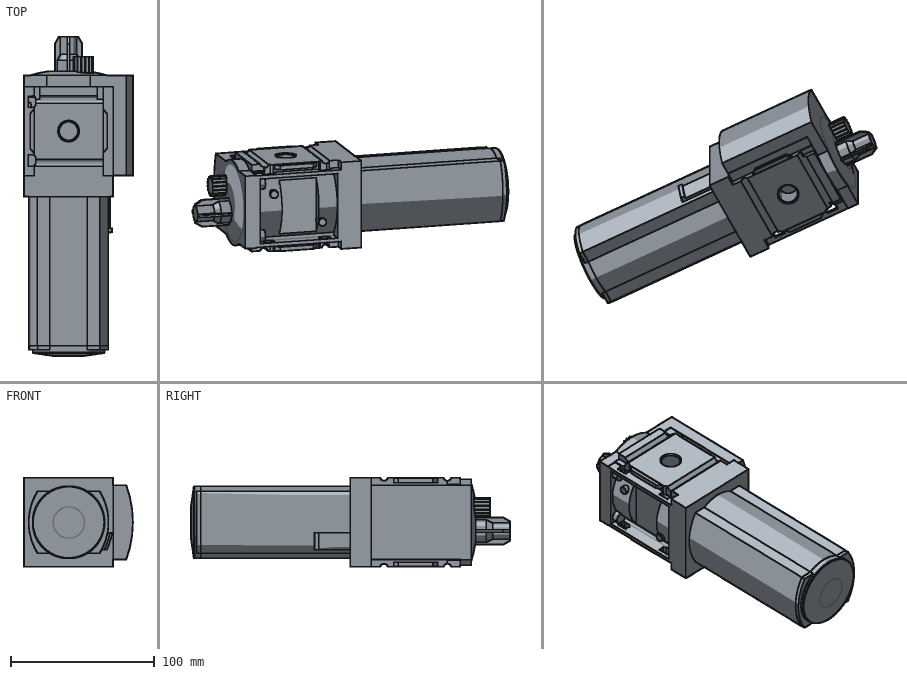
import math

import cadquery as cq


OVERALL_LENGTH = 222.0

HOUSING_WIDTH = 62.0
HALF_WIDTH = HOUSING_WIDTH / 2
COLLAR_FRONT_Y = -45.5
COLLAR_BACK_Y = -31.0
MIDDLE_BACK_Y = 30.8
STRIP_HALF_HEIGHT = 25.6
PAD_HALF_WIDTH = 24.0

COVER_HALF_HEIGHT = 25.9
COVER_FLAT_X = 40.1
COVER_OUTER_X = 44.8
CAP_BACK_Y = 38.7
CAP_BULGE_RADIUS = 30.0
DOME_RADIUS = 27.0
DOME_FLAT_RADIUS = 14.0
DOME_TOP_Y = 41.6
DOME_MID_RADIUS = (DOME_RADIUS + DOME_FLAT_RADIUS) / 2
DOME_MID_Y = 40.4

GROOVE_WIDTH = 5.2
GROOVE_DEPTH = 2.1
GROOVE_Y = 22.0
CORNER_NOTCH_WIDTH = 4.0
CORNER_NOTCH_Y = 22.0
CORNER_NOTCH_FLOOR_Z = 26.3
TAB_REACH = 2.8
TAB_HALF_LENGTH = 15.3
TAB_TIP_HALF_LENGTH = 12.0
TAB_THICKNESS = 3.0
TAB_DROP = 0.4
PORT_RADIUS = 6.5
PORT_MOUTH_RADIUS = 7.4
PORT_DEPTH = 15.0

SLOT_Y = 20.4
SLOT_OUTER_X = -28.0
SLOT_INNER_X = -22.8
SLOT_HALF_LENGTH = 3.9
SLOT_INNER_HALF_LENGTH = 2.3

WINDOW_FRONT_Y = -28.5
WINDOW_BACK_Y = 27.8
WINDOW_HALF_HEIGHT = 23.1
BOWL_RADIUS = 29.4
BOWL_HALF_HEIGHT = 21.2
WINDOW_FILLET = 1.8
RECESS_FRONT_Y = -15.2
RECESS_BACK_Y = 11.6
RECESS_HALF_HEIGHT = 19.1
PIN_DIAMETER = 5.5
PIN_TIP_X = -29.5
PIN_LENGTH = 10.0
PIN_PLACES = [(17.2, 11.0), (-17.8, -11.2)]
LUG_RADIUS = 4.3
LUG_X = -25.0
LUG_Z = 18.8
LUG_LENGTH = 4.2

GUARD_RADIUS = 50.4 / 2
GUARD_RING_Y = -149.3
GUARD_RING_INSET = 0.1
GUARD_CORNER = 21.6
GUARD_SIDE_X = 27.8
GUARD_SIDE_END_Y = -152.0
GUARD_ROUND_END_Y = -153.6
GUARD_RIM_Y = -154.3
GUARD_TIP_Y = -156.3
GUARD_RIM_RADIUS = 24.7
GUARD_TIP_RADIUS = 10.9
ARC_SAG = GUARD_SIDE_X - GUARD_CORNER
GUARD_ARC_RADIUS = (GUARD_CORNER**2 + ARC_SAG**2) / (2 * ARC_SAG)
GUARD_ARC_CENTRE_X = GUARD_SIDE_X - GUARD_ARC_RADIUS

LATCH_TOP_Z = -7.1
LATCH_BOTTOM_Z = -19.2
LATCH_THICKNESS = 1.6
LATCH_LIP = 1.5
LATCH_END_Y = -70.6
LATCH_LIP_END_Y = -70.2
LATCH_LIP_START_Y = -67.4
LATCH_EMBED = 1.5

KNOB_Z = -6.1
KNOB_TOP_Y = GUARD_TIP_Y + OVERALL_LENGTH
KNOB_SHOULDER_Y = 60.8
KNOB_WING_RADIUS = 9.5
KNOB_WING_TIP_RADIUS = 6.7
KNOB_WING_THICKNESS = 1.6
KNOB_CORE_RADIUS = 5.7
KNOB_BASE_RADIUS = 7.8
KNOB_CORE_Y = 53.4
KNOB_BASE_Y = 49.2

PLUG_X = 10.2
PLUG_Z = 10.2
PLUG_RADIUS = 7.1
PLUG_TOP_Y = 51.7
FLUTE_COUNT = 16
FLUTE_RADIUS = 1.1


def box(x0, x1, y0, y1, z0, z1):
    """Axis-aligned block between the given limits."""
    return cq.Workplane("XY").box(x1 - x0, y1 - y0, z1 - z0, centered=False).translate((x0, y0, z0))


def plane_at(y):
    """XZ sketch plane at the given Y; extrusion runs toward -Y."""
    return cq.Workplane("XZ", origin=(0, y, 0))


def rod(radius, x, z, y0, y1):
    """Cylinder along Y."""
    return plane_at(y1).center(x, z).circle(radius).extrude(y1 - y0)


def turned(points):
    """Solid of revolution about the Y axis from (radius, y) points."""
    return cq.Workplane("XY").polyline(points).close().revolve(360, (0, 0, 0), (0, 1, 0))


def both_sides(shape):
    """The shape joined with its mirror image below Z = 0."""
    return shape.union(shape.mirror("XY"))


def make_housing():
    collar = box(-HALF_WIDTH, HALF_WIDTH, COLLAR_FRONT_Y, COLLAR_BACK_Y, -HALF_WIDTH, HALF_WIDTH)
    middle = box(-HALF_WIDTH, HALF_WIDTH, COLLAR_BACK_Y, MIDDLE_BACK_Y, -STRIP_HALF_HEIGHT, STRIP_HALF_HEIGHT)
    return collar.union(middle).union(both_sides(make_pad()))


def make_pad():
    """Raised port pad on top, with cross grooves, side tabs and notched rear corners."""
    pad = box(-PAD_HALF_WIDTH, PAD_HALF_WIDTH, COLLAR_BACK_Y, MIDDLE_BACK_Y, 0, HALF_WIDTH)
    tab_x = PAD_HALF_WIDTH + TAB_REACH
    tabs = (
        cq.Workplane("XY", origin=(0, 0, HALF_WIDTH - TAB_DROP))
        .polyline([
            (-PAD_HALF_WIDTH, -TAB_HALF_LENGTH),
            (PAD_HALF_WIDTH, -TAB_HALF_LENGTH),
            (tab_x, -TAB_TIP_HALF_LENGTH),
            (tab_x, TAB_TIP_HALF_LENGTH),
            (PAD_HALF_WIDTH, TAB_HALF_LENGTH),
            (-PAD_HALF_WIDTH, TAB_HALF_LENGTH),
            (-tab_x, TAB_TIP_HALF_LENGTH),
            (-tab_x, -TAB_TIP_HALF_LENGTH),
        ])
        .close()
        .extrude(-TAB_THICKNESS)
    )
    pad = pad.union(tabs)
    for side in (-1, 1):
        groove = (
            cq.Workplane("YZ", origin=(-PAD_HALF_WIDTH, 0, 0))
            .moveTo(side * GROOVE_Y - GROOVE_WIDTH / 2, HALF_WIDTH)
            .threePointArc(
                (side * GROOVE_Y, HALF_WIDTH - GROOVE_DEPTH),
                (side * GROOVE_Y + GROOVE_WIDTH / 2, HALF_WIDTH),
            )
            .close()
            .extrude(2 * PAD_HALF_WIDTH)
        )
        notch_x = side * (PAD_HALF_WIDTH - CORNER_NOTCH_WIDTH)
        outer_x = side * PAD_HALF_WIDTH
        notch = box(
            min(notch_x, outer_x), max(notch_x, outer_x),
            CORNER_NOTCH_Y, MIDDLE_BACK_Y,
            CORNER_NOTCH_FLOOR_Z, HALF_WIDTH,
        )
        pad = pad.cut(groove).cut(notch)
    return pad


def make_cover():
    """Rear cap with domed end, and the cover on the +X side."""
    cover = (
        plane_at(CAP_BACK_Y)
        .moveTo(HALF_WIDTH, -COVER_HALF_HEIGHT)
        .lineTo(COVER_FLAT_X, -COVER_HALF_HEIGHT)
        .threePointArc((COVER_OUTER_X, 0), (COVER_FLAT_X, COVER_HALF_HEIGHT))
        .lineTo(HALF_WIDTH, COVER_HALF_HEIGHT)
        .close()
        .extrude(CAP_BACK_Y - COLLAR_BACK_Y)
    )
    cap = box(-HALF_WIDTH, HALF_WIDTH, MIDDLE_BACK_Y, CAP_BACK_Y, -COVER_HALF_HEIGHT, COVER_HALF_HEIGHT)
    bulge = rod(CAP_BULGE_RADIUS, 0, 0, MIDDLE_BACK_Y, CAP_BACK_Y)
    dome = (
        cq.Workplane("XY")
        .moveTo(0, CAP_BACK_Y)
        .lineTo(DOME_RADIUS, CAP_BACK_Y)
        .threePointArc(
            (DOME_MID_RADIUS, DOME_MID_Y),
            (DOME_FLAT_RADIUS, DOME_TOP_Y),
        )
        .lineTo(0, DOME_TOP_Y)
        .close()
        .revolve(360, (0, 0, 0), (0, 1, 0))
    )
    return cover.union(cap).union(bulge).union(dome)


def make_ports():
    """Countersunk port in the top pad and its twin in the bottom pad."""
    chamfer = PORT_MOUTH_RADIUS - PORT_RADIUS
    port = (
        cq.Workplane("XZ")
        .polyline([
            (0, HALF_WIDTH),
            (PORT_MOUTH_RADIUS, HALF_WIDTH),
            (PORT_RADIUS, HALF_WIDTH - chamfer),
            (PORT_RADIUS, HALF_WIDTH - PORT_DEPTH),
            (0, HALF_WIDTH - PORT_DEPTH),
        ])
        .close()
        .revolve(360, (0, 0, 0), (0, 1, 0))
    )
    return both_sides(port)


def make_window():
    """Opening in the -X face, leaving a bulged sight bowl with a flat recess."""
    bowl_edge_x = -math.sqrt(BOWL_RADIUS**2 - BOWL_HALF_HEIGHT**2)
    recess_x = -math.sqrt(BOWL_RADIUS**2 - RECESS_HALF_HEIGHT**2)
    opening = box(
        -HALF_WIDTH, bowl_edge_x,
        WINDOW_FRONT_Y, WINDOW_BACK_Y,
        -WINDOW_HALF_HEIGHT, WINDOW_HALF_HEIGHT,
    )
    opening = opening.edges("|Y and >X").fillet(WINDOW_FILLET)
    bowl = rod(BOWL_RADIUS, 0, 0, WINDOW_FRONT_Y, WINDOW_BACK_Y)
    recess = box(
        -HALF_WIDTH, recess_x,
        RECESS_FRONT_Y, RECESS_BACK_Y,
        -RECESS_HALF_HEIGHT, RECESS_HALF_HEIGHT,
    )
    return opening.cut(bowl).union(recess)


def make_window_details():
    """Pins on the sight bowl and round lugs in the rear window corners."""
    lug = rod(LUG_RADIUS, LUG_X, LUG_Z, WINDOW_BACK_Y - LUG_LENGTH, WINDOW_BACK_Y)
    details = both_sides(lug)
    for y, z in PIN_PLACES:
        pin = (
            cq.Workplane("YZ", origin=(PIN_TIP_X, y, z))
            .circle(PIN_DIAMETER / 2)
            .extrude(PIN_LENGTH)
        )
        details = details.union(pin)
    return details


def make_clip_slots():
    """Slots through the window frame beside the ends of the pad grooves."""
    slots = None
    for centre_y in (-SLOT_Y, SLOT_Y):
        slot = (
            cq.Workplane("XY", origin=(0, centre_y, WINDOW_HALF_HEIGHT))
            .polyline([
                (SLOT_OUTER_X, -SLOT_HALF_LENGTH),
                (-PAD_HALF_WIDTH, -SLOT_HALF_LENGTH),
                (SLOT_INNER_X, -SLOT_INNER_HALF_LENGTH),
                (SLOT_INNER_X, SLOT_INNER_HALF_LENGTH),
                (-PAD_HALF_WIDTH, SLOT_HALF_LENGTH),
                (SLOT_OUTER_X, SLOT_HALF_LENGTH),
            ])
            .close()
            .extrude(HALF_WIDTH - WINDOW_HALF_HEIGHT)
        )
        slots = slot if slots is None else slots.union(slot)
    return both_sides(slots)


def guard_section(inset, y0, y1):
    """Length of guard: a round barrel with bulged, flat-topped flanks on both sides."""
    corner = GUARD_CORNER - inset
    side = GUARD_SIDE_X - inset
    flanks = (
        plane_at(y1)
        .moveTo(-corner, -corner)
        .lineTo(corner, -corner)
        .threePointArc((side, 0), (corner, corner))
        .lineTo(-corner, corner)
        .threePointArc((-side, 0), (-corner, -corner))
        .close()
        .extrude(y1 - y0)
    )
    return flanks.union(rod(GUARD_RADIUS - inset, 0, 0, y0, y1))


def make_guard():
    """Bowl guard with a slightly slimmer end ring and a conical end."""
    tube = guard_section(0, GUARD_RING_Y, COLLAR_FRONT_Y)
    ring = guard_section(GUARD_RING_INSET, GUARD_SIDE_END_Y, GUARD_RING_Y)
    ring_radius = GUARD_RADIUS - GUARD_RING_INSET
    end = turned([
        (0, GUARD_SIDE_END_Y),
        (ring_radius, GUARD_SIDE_END_Y),
        (ring_radius, GUARD_ROUND_END_Y),
        (GUARD_RIM_RADIUS, GUARD_RIM_Y),
        (GUARD_TIP_RADIUS, GUARD_TIP_Y),
        (0, GUARD_TIP_Y),
    ])
    return tube.union(ring).union(end)


def latch_layer(thickness, y0, y1):
    """Curved plate following the guard flank, slightly sunk into it."""
    outer = rod(GUARD_ARC_RADIUS + thickness, GUARD_ARC_CENTRE_X, 0, y0, y1)
    inner = rod(GUARD_ARC_RADIUS - LATCH_EMBED, GUARD_ARC_CENTRE_X, 0, y0, y1)
    band = box(0, HALF_WIDTH, y0, y1, LATCH_BOTTOM_Z, LATCH_TOP_Z)
    return outer.cut(inner).intersect(band)


def make_latch():
    plate = latch_layer(LATCH_THICKNESS, LATCH_END_Y, COLLAR_FRONT_Y)
    lip = latch_layer(LATCH_THICKNESS + LATCH_LIP, LATCH_LIP_END_Y, LATCH_LIP_START_Y)
    return plate.union(lip)


def make_knob():
    """Stepped core with four crossed wings."""
    core = turned([
        (0, CAP_BACK_Y),
        (KNOB_BASE_RADIUS, CAP_BACK_Y),
        (KNOB_BASE_RADIUS, KNOB_BASE_Y),
        (KNOB_CORE_RADIUS, KNOB_CORE_Y),
        (KNOB_CORE_RADIUS, KNOB_TOP_Y),
        (0, KNOB_TOP_Y),
    ])
    wing = (
        cq.Workplane("XY", origin=(0, 0, -KNOB_WING_THICKNESS / 2))
        .polyline([
            (-KNOB_WING_RADIUS, CAP_BACK_Y),
            (KNOB_WING_RADIUS, CAP_BACK_Y),
            (KNOB_WING_RADIUS, KNOB_SHOULDER_Y),
            (KNOB_WING_TIP_RADIUS, KNOB_TOP_Y),
            (-KNOB_WING_TIP_RADIUS, KNOB_TOP_Y),
            (-KNOB_WING_RADIUS, KNOB_SHOULDER_Y),
        ])
        .close()
        .extrude(KNOB_WING_THICKNESS)
    )
    crossed_wing = wing.rotate((0, 0, 0), (0, 1, 0), 90)
    return core.union(wing).union(crossed_wing).translate((0, 0, KNOB_Z))


def make_plug():
    """Filler plug with lengthwise grip flutes."""
    plug = rod(PLUG_RADIUS, PLUG_X, PLUG_Z, CAP_BACK_Y, PLUG_TOP_Y)
    flutes = (
        plane_at(PLUG_TOP_Y)
        .center(PLUG_X, PLUG_Z)
        .polarArray(PLUG_RADIUS, 0, 360, FLUTE_COUNT)
        .circle(FLUTE_RADIUS)
        .extrude(PLUG_TOP_Y - CAP_BACK_Y)
    )
    return plug.cut(flutes)


housing = make_housing().union(make_cover())
housing = housing.cut(make_window()).union(make_window_details())
housing = housing.cut(make_ports()).cut(make_clip_slots())
result = housing.union(make_guard()).union(make_latch()).union(make_knob()).union(make_plug())